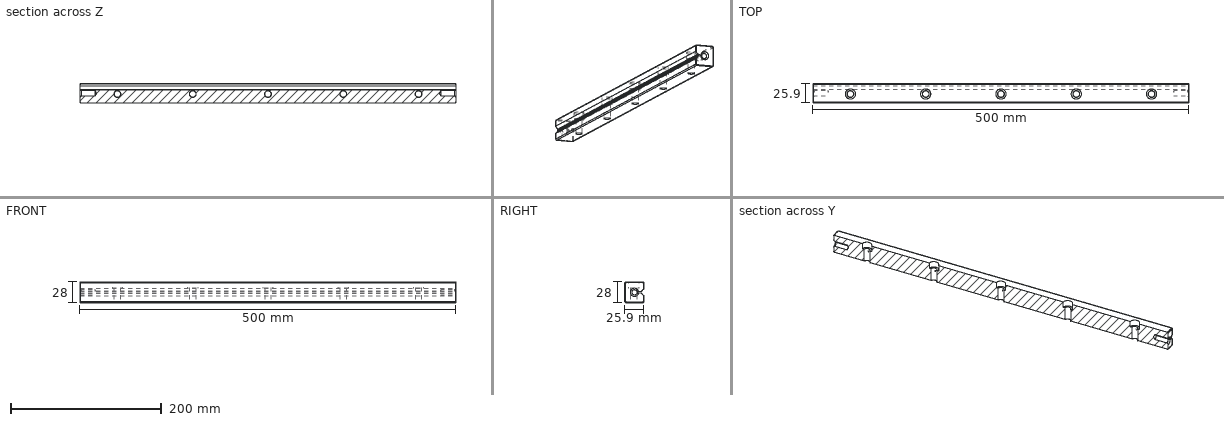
import cadquery as cq
import math

length = 500.0
width = 25.9
height = 28.0
edge_chamfer = 1.5
end_chamfer = 1.0

raceway_mouth = 10.0
raceway_depth = 3.5
slot_width = 1.5
slot_depth = 8.0

hole_count = 5
hole_pitch = 100.0
hole_distance_from_back = 12.0
hole_diameter = 8.5
counterbore_diameter = 13.5
counterbore_depth = 8.5

end_hole_diameter = 6.9
end_hole_depth = 20.0
drill_point_angle = 118.0
countersink_diameter = 11.0
countersink_angle = 90.0

side_y = width / 2
hole_y = hole_distance_from_back - side_y
end_x = length / 2


def make_bar():
    bar = cq.Workplane("XY").box(length, width, height)
    bar = bar.edges("|X").chamfer(edge_chamfer)
    return bar.faces("<X or >X").edges().chamfer(end_chamfer)


def make_raceway():
    half_mouth = raceway_mouth / 2
    half_floor = half_mouth - raceway_depth
    floor_y = side_y - raceway_depth
    outline = [
        (side_y, half_mouth),
        (floor_y, half_floor),
        (floor_y, -half_floor),
        (side_y, -half_mouth),
    ]
    groove = cq.Workplane("YZ").polyline(outline).close().extrude(end_x, both=True)
    slot = cq.Workplane("XY").box(length, slot_depth, slot_width)
    slot = slot.translate((0, side_y - slot_depth / 2, 0))
    return groove.union(slot)


def cut_mounting_holes(bar):
    first_x = -hole_pitch * (hole_count - 1) / 2
    centres = [(first_x + i * hole_pitch, hole_y) for i in range(hole_count)]
    top = bar.faces(">Z").workplane(origin=(0, 0, 0)).pushPoints(centres)
    return top.cboreHole(hole_diameter, counterbore_diameter, counterbore_depth)


def make_end_hole():
    """Blind hole in the -X end face, revolved about its own axis."""
    hole_radius = end_hole_diameter / 2
    mouth_radius = countersink_diameter / 2
    countersink_depth = (mouth_radius - hole_radius) / math.tan(math.radians(countersink_angle / 2))
    point_length = hole_radius / math.tan(math.radians(drill_point_angle / 2))
    profile = [
        (0, 0),
        (0, mouth_radius),
        (countersink_depth, hole_radius),
        (end_hole_depth, hole_radius),
        (end_hole_depth + point_length, 0),
    ]
    hole = cq.Workplane("XY").polyline(profile).close().revolve(360, (0, 0), (1, 0))
    return hole.translate((-end_x, 0, 0))


result = make_bar().cut(make_raceway())
result = cut_mounting_holes(result)
end_hole = make_end_hole()
result = result.cut(end_hole).cut(end_hole.mirror("YZ"))